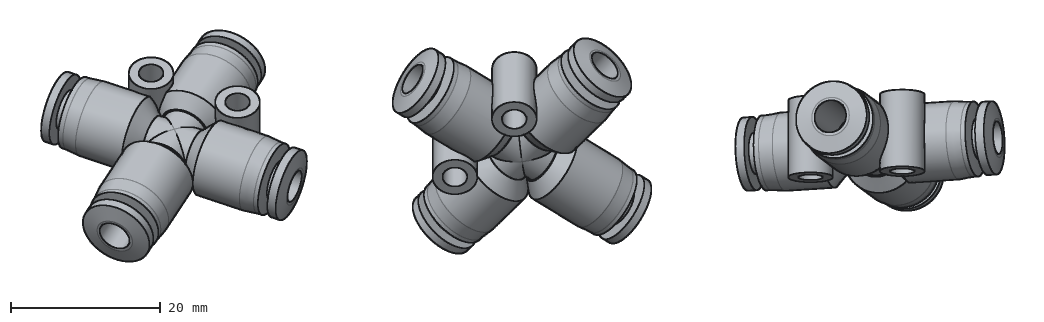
import cadquery as cq
reach_x = 17.8
reach_y = 18.65
body_radius = 5.25
core_radius = 3.25

body_face_setback = 2.8
body_rim_setback = 3.05
body_band_setback = 3.73
body_taper_setback = 5.7
body_nose_radius = 5.05
root_radius_x = 3.2
root_radius_y = 3.47

button_radius = 4.92
button_rim_setback = 0.5
button_back_setback = 1.7
button_mouth_radius = 2.6
button_neck_radius = 2.75

tube_bore_radius = 2.2
tube_bore_depth = 11.2
flow_radius = 1.5

lug_offset = 6.38
lug_radius = 3.0
lug_hole_radius = 1.65


def port_arm(reach, root_radius):
    """One solid port along +X: core, 45 degree root cone, body and release button."""
    profile = [
        (0, 0),
        (0, core_radius),
        (root_radius, core_radius),
        (root_radius, root_radius),
        (body_radius, body_radius),
        (reach - body_taper_setback, body_radius),
        (reach - body_band_setback, body_nose_radius),
        (reach - body_rim_setback, body_nose_radius),
        (reach - body_face_setback, button_neck_radius),
        (reach - button_back_setback, button_neck_radius),
        (reach - button_back_setback, button_radius),
        (reach - button_rim_setback, button_radius),
        (reach, button_mouth_radius),
        (reach, 0),
    ]
    return cq.Workplane("XY").polyline(profile).close().revolve(360, (0, 0, 0), (1, 0, 0))


def port_bore(reach):
    """Stepped bore along +X: narrow flow passage opening into the tube bore."""
    passage = cq.Workplane("YZ").circle(flow_radius).extrude(reach)
    tube_bore = cq.Workplane("YZ").workplane(offset=reach - tube_bore_depth)
    return passage.union(tube_bore.circle(tube_bore_radius).extrude(tube_bore_depth))


def around_z(shape, angle):
    return shape.rotate((0, 0, 0), (0, 0, 1), angle)


ports = [
    (0, reach_x, root_radius_x),
    (90, reach_y, root_radius_y),
    (180, reach_x, root_radius_x),
    (270, reach_y, root_radius_y),
]
lug_centres = [(-lug_offset, lug_offset), (lug_offset, lug_offset)]

lug_base = cq.Workplane("XY").workplane(offset=-body_radius).pushPoints(lug_centres)
result = lug_base.circle(lug_radius).extrude(2 * body_radius)
for angle, reach, root_radius in ports:
    result = result.union(around_z(port_arm(reach, root_radius), angle))

for angle, reach, _ in ports:
    result = result.cut(around_z(port_bore(reach), angle))
result = result.cut(lug_base.circle(lug_hole_radius).extrude(2 * body_radius))